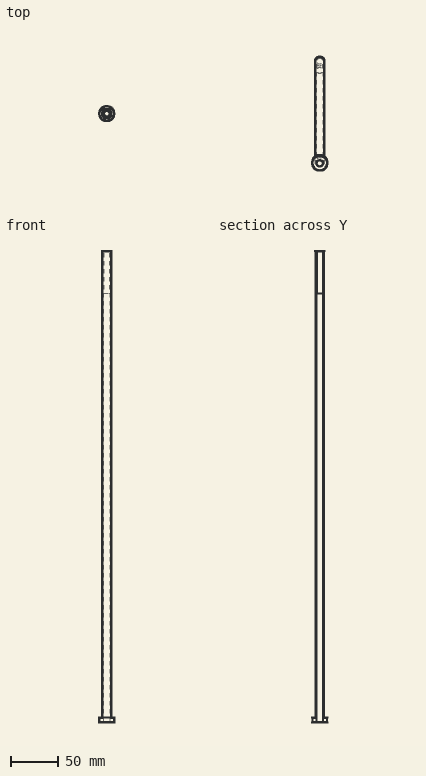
import cadquery as cq

total_length = 500.0
head_diameter = 16.0
head_height = 5.0
tube_diameter = 10.0
guide_bore_diameter = 6.2
guide_length = 45.0
relief_clearance = 0.5
relief_bore_diameter = guide_bore_diameter + relief_clearance
relief_length = total_length - guide_length


def cylinder(diameter, height):
    """Solid cylinder standing on the base plane, centred on the Z axis."""
    return cq.Workplane("XY").circle(diameter / 2).extrude(height)


def make_outer_body():
    """Flanged head with the tube rising through it to the tip."""
    head = cylinder(head_diameter, head_height)
    tube = cylinder(tube_diameter, total_length)
    return head.union(tube)


def cut_bore(body):
    """Through bore: guide diameter at the tip, wider relief from the head end."""
    guide_bore = cylinder(guide_bore_diameter, total_length)
    relief_bore = cylinder(relief_bore_diameter, relief_length)
    return body.cut(guide_bore).cut(relief_bore)


result = cut_bore(make_outer_body())